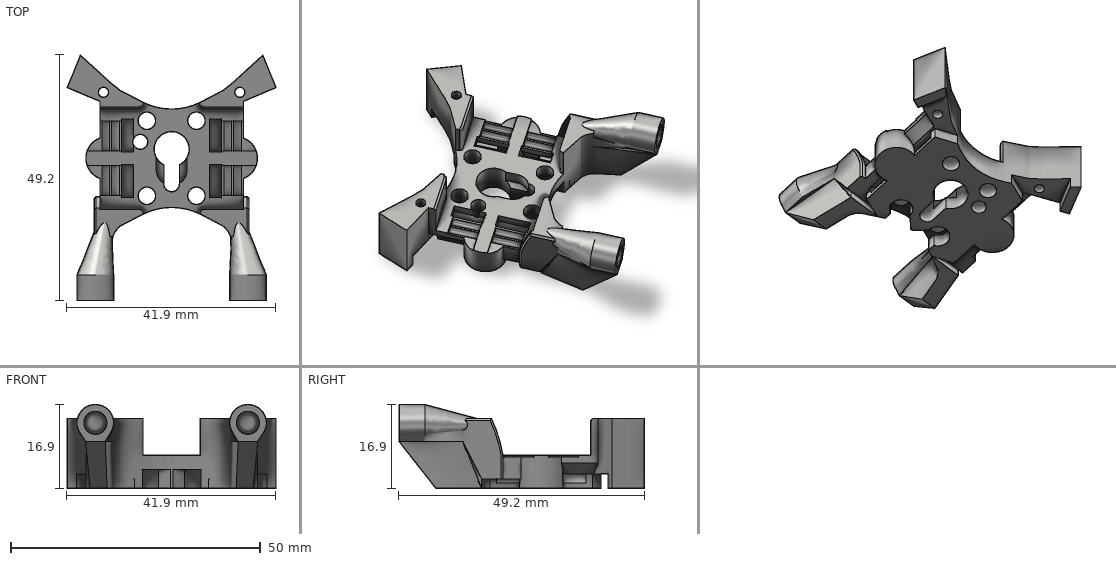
import cadquery as cq
import math

PLATE_TOP = 6.65
ARM_TOP = 14.0
REAR_UNDERSIDE = 2.9
FRONT_UNDERSIDE = 1.9

PLATE_HALF_WIDTH = 14.4
PLATE_REAR_Y = 11.4
EDGE_MIDDLE = 9.9
EDGE_ARC_END = (5.9, 11.3)
EDGE_BEND = (10.35, 13.6)

ARM_TIP = (18.3, 20.65)
ARM_CORNER = (20.95, 14.15)
ARM_ROOT = (12.2, 10.45)
ARM_INNER_BEND = (12.3, 15.2)
BLOCK_INNER_X = 5.7
REAR_BLOCK_Y = 9.9
BLOCK_EDGE_RADIUS = 0.75
BLOCK_TOP_CHAMFER = 0.45
FOOT_WALL_FRONT = (19.27, 12.9)
FOOT_WALL_REAR = (16.45, 19.65)
ARM_HOLE = (13.65, 13.25)
ARM_HOLE_DIAMETER = 1.95

LEG_BLOCK_Y = -10.3
LEG_GROUND_Y = -11.95
LEG_BLOCK_END_Y = -15.75
LEG_OUTER_X = 15.55
LEG_INNER_X = 11.8
LEG_CURVE_MIDDLE = (11.25, -14.65)
LUG_START_Y = -7.65
LUG_TOP_Y = -10.0
LUG_BACK_MIDDLE = (-8.45, 10.05)
LUG_CHAMFER = 0.4
TUBE_X = 15.3
TUBE_Z = 13.15
TUBE_RADIUS = 3.7
BORE_RADIUS = 2.3
BORE_DEPTH = 5.15
TUBE_END_Y = -28.5
TUBE_START_Y = -23.35
TUBE_BOTTOM = 9.4
SEAT_HALF_WIDTH = 1.95
KEEL_SHOULDER = (3.3, 1.55)
CONE_TIP = (13.35, -12.55, 12.65)
CONE_TIP_RADIUS = 1.3
FOOT_END_Y = -21.15
FOOT_END_OUTER_X = 16.3
FOOT_END_INNER_X = 12.95

HUB_HALF_WIDTH = 11.75
HUB_SIDE_Y = 10.3
HUB_SHOULDER = (7.2, 12.05)
HUB_LIP_Z = 1.05
RECESS_INNER_X = 0.25
RECESS_OUTER_X = 5.85
RECESS_TOP = 3.75
RECESS_RADIUS = 2.35

BOSS_RADIUS = 4.35
BOSS_REACH = 17.2
BAR_TOP = 6.25
BAR_NEAR_Y = 1.48
BAR_FAR_Y = 7.45
SLOT_INNER_X = 7.6
SLOT_OUTER_X = 10.05
SLOT_FLOOR_TOP = 4.7
BAR_INNER_UNDERSIDE = 4.75
SLOT_NEAR_Y = 1.3
SLOT_FAR_Y = 7.9
SLOT_FLOOR_END_Y = 9.0
FLUTE_RADIUS = 0.8
FLUTE_XS = (13.25, 11.25)
UNDERCUT = 2.15

SCREW_HOLE_X = 4.95
SCREW_HOLE_Y = 7.5
SCREW_HOLE_DIAMETER = 3.45
SIDE_HOLE = (-6.3, 3.3)
SIDE_HOLE_DIAMETER = 2.95
KEYHOLE_Y = 1.8
KEYHOLE_RADIUS = 3.5
KEYHOLE_SLOT_RADIUS = 1.5
KEYHOLE_SLOT_END_Y = -5.15
KEYHOLE_TRACK_RADIUS = 3.1
KEYHOLE_TRACK_END_Y = -2.3
KEYHOLE_LEDGE_Z = 3.75


def prism(points, bottom, top):
    """Upright prism on a closed outline of (x, y) points."""
    return cq.Workplane("XY").workplane(offset=bottom).polyline(points).close().extrude(top - bottom)


def box(x_range, y_range, z_range):
    """Box spanning the given ranges."""
    (x0, x1), (y0, y1), (z0, z1) = x_range, y_range, z_range
    return prism([(x0, y0), (x1, y0), (x1, y1), (x0, y1)], z0, z1)


def along_y(points, y_start, y_end):
    """Prism on a closed outline of (x, z) points, running along Y."""
    return cq.Workplane("XZ", origin=(0, y_start, 0)).polyline(points).close().extrude(y_start - y_end)


def cylinder(x, y, radius, bottom, top):
    """Upright cylinder around the point (x, y)."""
    return cq.Workplane("XY").workplane(offset=bottom).center(x, y).circle(radius).extrude(top - bottom)


def between_edges():
    """Tall body filling the space between the rear and front concave edges, on the +X side."""
    ax, ay = EDGE_ARC_END
    arc_radius = (ax**2 + (ay - EDGE_MIDDLE) ** 2) / (2 * (ay - EDGE_MIDDLE))
    half = math.asin(ax / arc_radius) / 2
    mid = (arc_radius * math.sin(half), EDGE_MIDDLE + arc_radius * (1 - math.cos(half)))
    return (
        cq.Workplane("XY")
        .moveTo(0, EDGE_MIDDLE)
        .threePointArc(mid, EDGE_ARC_END)
        .lineTo(*EDGE_BEND)
        .lineTo(*ARM_INNER_BEND)
        .lineTo(*ARM_TIP)
        .lineTo(ARM_CORNER[0], ARM_TIP[1])
        .lineTo(ARM_CORNER[0], TUBE_END_Y)
        .lineTo(LEG_INNER_X, TUBE_END_Y)
        .lineTo(LEG_INNER_X, LEG_BLOCK_END_Y)
        .threePointArc(LEG_CURVE_MIDDLE, (EDGE_BEND[0], -EDGE_BEND[1]))
        .lineTo(ax, -ay)
        .threePointArc((mid[0], -mid[1]), (0, -EDGE_MIDDLE))
        .close()
        .extrude(ARM_TOP)
    )


def plate():
    """Half of the plate, with the sloped undercut along its rear side."""
    rear = box((0, PLATE_HALF_WIDTH), (0, PLATE_REAR_Y), (REAR_UNDERSIDE, PLATE_TOP))
    front = box((0, PLATE_HALF_WIDTH), (LEG_GROUND_Y, 0), (FRONT_UNDERSIDE, PLATE_TOP))
    undercut = along_y(
        [
            (PLATE_HALF_WIDTH, REAR_UNDERSIDE),
            (PLATE_HALF_WIDTH, REAR_UNDERSIDE + UNDERCUT),
            (PLATE_HALF_WIDTH - UNDERCUT, REAR_UNDERSIDE),
        ],
        ARM_TIP[1],
        0,
    )
    return rear.cut(undercut).union(front)


def hub():
    """Half of the body that carries the plate down to the ground."""
    sx, sy = HUB_SHOULDER
    return prism(
        [(0, -sy), (sx, -sy), (HUB_HALF_WIDTH, -HUB_SIDE_Y), (HUB_HALF_WIDTH, HUB_SIDE_Y), (sx, sy), (0, sy)],
        0,
        PLATE_TOP,
    )


def recess():
    """Pocket around the front screw hole, open to the ground and to the front edge."""
    mouth = prism(
        [
            (RECESS_OUTER_X, LEG_GROUND_Y),
            (RECESS_OUTER_X, -SCREW_HOLE_Y),
            (SCREW_HOLE_X - RECESS_RADIUS, -SCREW_HOLE_Y),
            (RECESS_INNER_X, -EDGE_MIDDLE),
            (RECESS_INNER_X, LEG_GROUND_Y),
        ],
        0,
        RECESS_TOP,
    )
    bore = cylinder(SCREW_HOLE_X, -SCREW_HOLE_Y, RECESS_RADIUS, 0, RECESS_TOP)
    return mouth.union(bore)


def rear_arm():
    """Splayed arm raised on a foot at its tip, with a block standing on the plate."""
    arm = prism(
        [ARM_CORNER, ARM_ROOT, (BLOCK_INNER_X, ARM_ROOT[1]), (BLOCK_INNER_X, ARM_TIP[1]), ARM_TIP],
        0,
        ARM_TOP,
    )
    clearance = prism(
        [FOOT_WALL_FRONT, FOOT_WALL_REAR, (0, FOOT_WALL_REAR[1]), (0, 0), (FOOT_WALL_FRONT[0], 0)],
        0,
        REAR_UNDERSIDE,
    )
    block = (
        box((BLOCK_INNER_X, PLATE_HALF_WIDTH), (REAR_BLOCK_Y, ARM_CORNER[1]), (PLATE_TOP, ARM_TOP))
        .edges("|Z and <X and <Y")
        .fillet(BLOCK_EDGE_RADIUS)
        .faces("<Y")
        .edges(">Z")
        .chamfer(BLOCK_TOP_CHAMFER)
    )
    hole = cylinder(*ARM_HOLE, ARM_HOLE_DIAMETER / 2, 0, ARM_TOP)
    return arm.cut(clearance).union(block).intersect(between_edges()).cut(hole)


def front_block():
    """Block behind each tube: it stands on the plate and reaches the ground in front of the hub."""
    upper = box((BLOCK_INNER_X, PLATE_HALF_WIDTH), (LEG_GROUND_Y, LEG_BLOCK_Y), (PLATE_TOP, ARM_TOP))
    upper = upper.edges("|Z and <X and >Y").fillet(BLOCK_EDGE_RADIUS)
    lower = box((BLOCK_INNER_X, PLATE_HALF_WIDTH), (LEG_BLOCK_END_Y, LEG_GROUND_Y), (0, ARM_TOP))
    return upper.union(lower).intersect(between_edges())


def lug():
    """Cheek on the outer side of the front block, with its rear and top edges chamfered."""
    cheek = (
        cq.Workplane("YZ", origin=(PLATE_HALF_WIDTH, 0, 0))
        .moveTo(LUG_START_Y, FRONT_UNDERSIDE)
        .lineTo(LUG_START_Y, PLATE_TOP)
        .threePointArc(LUG_BACK_MIDDLE, (LUG_TOP_Y, ARM_TOP))
        .lineTo(LEG_BLOCK_END_Y, ARM_TOP)
        .lineTo(LEG_BLOCK_END_Y, TUBE_BOTTOM)
        .lineTo(LEG_GROUND_Y, FRONT_UNDERSIDE)
        .close()
        .extrude(LEG_OUTER_X - PLATE_HALF_WIDTH)
    )
    return cheek.faces(">X").edges("%CIRCLE or >Z or >Y").chamfer(LUG_CHAMFER)


def loft_solid(wires):
    """Straight-sided solid through closed wires."""
    return cq.Workplane(obj=cq.Solid.makeLoft(wires, True))


def closed_wire(points):
    """Closed wire of straight edges through 3D points."""
    return cq.Wire.makePolygon([cq.Vector(*p) for p in points], close=True)


def leg():
    """Web under the tube: a narrow foot at the ground that leans forward to the tube's flat bottom."""
    foot = [
        (PLATE_HALF_WIDTH, LEG_GROUND_Y, 0),
        (FOOT_END_OUTER_X, FOOT_END_Y, 0),
        (FOOT_END_INNER_X, FOOT_END_Y, 0),
        (LEG_INNER_X, LEG_BLOCK_END_Y, 0),
    ]
    seat = [
        (LEG_OUTER_X, LEG_BLOCK_END_Y, TUBE_BOTTOM),
        (TUBE_X + SEAT_HALF_WIDTH, TUBE_END_Y, TUBE_BOTTOM),
        (TUBE_X - SEAT_HALF_WIDTH, TUBE_END_Y, TUBE_BOTTOM),
        (LEG_INNER_X, LEG_BLOCK_END_Y, TUBE_BOTTOM),
    ]
    return loft_solid([closed_wire(foot), closed_wire(seat)])


def tube():
    """Tube with a flat-bottomed keel, tapering backwards into the block as a cone."""
    length = TUBE_START_Y - TUBE_END_Y
    barrel = cq.Workplane("XZ", origin=(TUBE_X, TUBE_START_Y, TUBE_Z)).circle(TUBE_RADIUS).extrude(length)
    keel = [
        (TUBE_X - KEEL_SHOULDER[0], TUBE_Z - KEEL_SHOULDER[1]),
        (TUBE_X + KEEL_SHOULDER[0], TUBE_Z - KEEL_SHOULDER[1]),
        (TUBE_X + SEAT_HALF_WIDTH, TUBE_BOTTOM),
        (TUBE_X - SEAT_HALF_WIDTH, TUBE_BOTTOM),
    ]
    tip_x, tip_y, tip_z = CONE_TIP
    keel_tail = [
        (LEG_INNER_X, tip_z),
        (LEG_OUTER_X, tip_z),
        (LEG_OUTER_X, TUBE_BOTTOM),
        (LEG_INNER_X, TUBE_BOTTOM),
    ]
    tail = loft_solid(
        [
            closed_wire([(x, TUBE_START_Y, z) for x, z in keel]),
            closed_wire([(x, LEG_BLOCK_END_Y, z) for x, z in keel_tail]),
        ]
    )
    backward = cq.Vector(0, 1, 0)
    cone = loft_solid(
        [
            cq.Wire.makeCircle(TUBE_RADIUS, cq.Vector(TUBE_X, TUBE_START_Y, TUBE_Z), backward),
            cq.Wire.makeCircle(CONE_TIP_RADIUS, cq.Vector(tip_x, tip_y, tip_z), backward),
        ]
    )
    return barrel.union(along_y(keel, TUBE_START_Y, TUBE_END_Y)).union(tail).union(cone)


def tube_bore():
    """Blind bore in the open end of the tube."""
    return cq.Workplane("XZ", origin=(TUBE_X, TUBE_END_Y, TUBE_Z)).circle(BORE_RADIUS).extrude(-BORE_DEPTH)


def boss():
    """Rounded boss on the side of the plate, standing on the ground, with a rib on top."""
    boss_x = BOSS_REACH - BOSS_RADIUS
    rib = box((SLOT_OUTER_X, BOSS_REACH), (-BAR_NEAR_Y, BAR_NEAR_Y), (0, PLATE_TOP))
    rounded_rib = rib.intersect(cylinder(boss_x, 0, BOSS_RADIUS, 0, PLATE_TOP))
    return cylinder(boss_x, 0, BOSS_RADIUS, 0, BAR_TOP).union(rounded_rib)


def strap_cuts(y_sign):
    """Strap slot, its sloped floor and the fluted lowered bar beside it, on one side of the rib."""

    def span(near, far):
        return tuple(sorted((y_sign * near, y_sign * far)))

    bar_span = span(BAR_NEAR_Y, BAR_FAR_Y)
    slot = box(
        (SLOT_INNER_X, SLOT_OUTER_X),
        span(SLOT_NEAR_Y, SLOT_FAR_Y),
        (SLOT_FLOOR_TOP, PLATE_TOP),
    )
    lowering = box((SLOT_OUTER_X, LEG_OUTER_X), bar_span, (BAR_TOP, PLATE_TOP))
    near, far = span(SLOT_NEAR_Y, SLOT_FLOOR_END_Y)
    passage = along_y(
        [
            (HUB_HALF_WIDTH, HUB_LIP_Z),
            (SLOT_INNER_X, SLOT_FLOOR_TOP),
            (SLOT_OUTER_X, BAR_INNER_UNDERSIDE),
            (PLATE_HALF_WIDTH - UNDERCUT, REAR_UNDERSIDE if y_sign > 0 else FRONT_UNDERSIDE),
        ],
        far,
        near,
    )
    cuts = slot.union(passage).union(lowering)
    for x in FLUTE_XS:
        flute = cq.Workplane("XZ", origin=(x, bar_span[1], BAR_TOP)).circle(FLUTE_RADIUS)
        cuts = cuts.union(flute.extrude(bar_span[1] - bar_span[0]))
    return cuts


def keyhole():
    """Keyhole through the hub, with a wider track for the screw head sunk from the top."""

    def slotted(radius, end_y, bottom):
        straight = box((-radius, radius), (end_y, KEYHOLE_Y), (bottom, PLATE_TOP))
        return straight.union(cylinder(0, end_y, radius, bottom, PLATE_TOP))

    head = cylinder(0, KEYHOLE_Y, KEYHOLE_RADIUS, 0, PLATE_TOP)
    neck = slotted(KEYHOLE_SLOT_RADIUS, KEYHOLE_SLOT_END_Y, 0)
    track = slotted(KEYHOLE_TRACK_RADIUS, KEYHOLE_TRACK_END_Y, KEYHOLE_LEDGE_Z)
    return head.union(neck).union(track)


half = plate().union(hub()).intersect(between_edges()).cut(recess()).union(boss())
for side in (1, -1):
    half = half.cut(strap_cuts(side))
for feature in (rear_arm(), front_block(), lug(), leg(), tube()):
    half = half.union(feature)
half = half.cut(tube_bore())
for y in (SCREW_HOLE_Y, -SCREW_HOLE_Y):
    half = half.cut(cylinder(SCREW_HOLE_X, y, SCREW_HOLE_DIAMETER / 2, 0, PLATE_TOP))

side_hole = cylinder(*SIDE_HOLE, SIDE_HOLE_DIAMETER / 2, 0, PLATE_TOP)

result = half.union(half.mirror("YZ")).cut(side_hole).cut(keyhole()).clean()